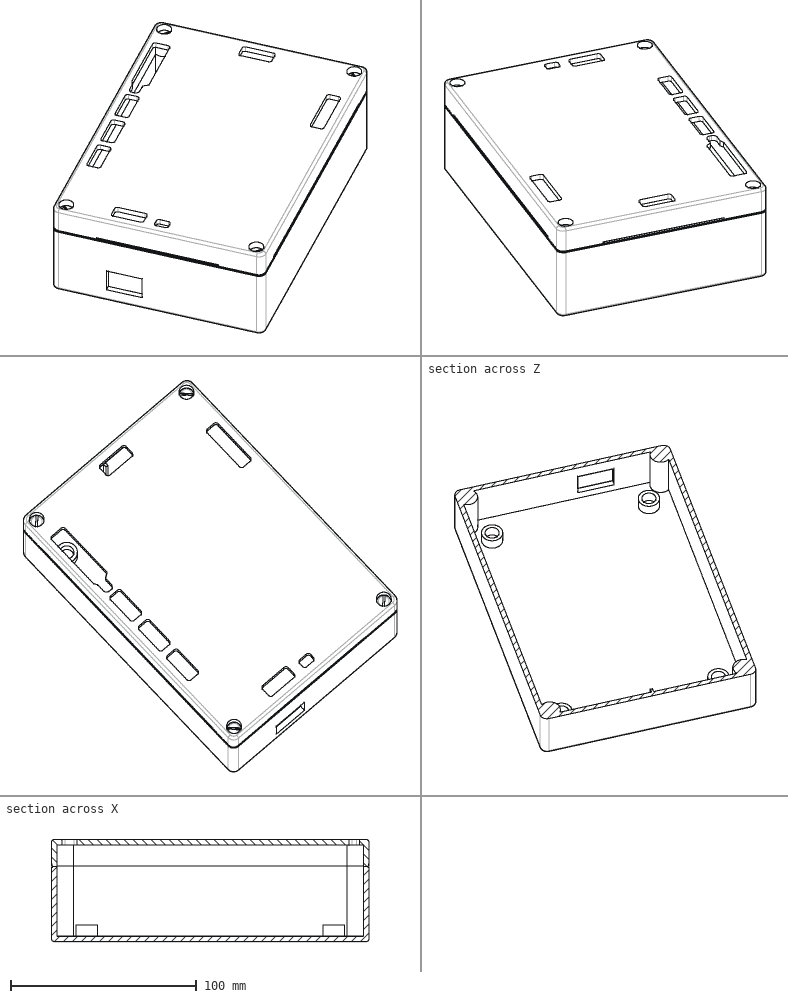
import cadquery as cq

LENGTH_X = 120.9
LENGTH_Y = 171.0
HEIGHT = 55.0
WALL = 3.0
CORNER_RADIUS = 4.0
EDGE_RADIUS = 1.5

JOINT_Z = 40.7
GROOVE_HEIGHT = 0.7
GROOVE_DEPTH = 0.5
NOTCH_DEPTH = 0.2
NOTCH_TOP_Z = 41.9
NOTCH_LENGTH_X = 69.7
NOTCH_LENGTH_Y = 138.1

SCREW_X = 54.2
SCREW_Y = 79.3
POST_DIAMETER = 11.5
RECESS_DIAMETER = 8.0
RECESS_DEPTH = 4.8
HEAD_DIAMETER = 7.9
HEAD_HEIGHT = 1.5
HEAD_EDGE_RADIUS = 1.0
DRIVE_SLOT_WIDTH = 1.0
DRIVE_SLOT_DEPTH = 1.0
CORNER_SLOT_ANGLE = 45.0

RIB_X = -2.4
RIB_WIDTH = 1.4
RIB_DEPTH = 2.0

STANDOFF_X = 44.0
STANDOFF_Y = 66.5
STANDOFF_DIAMETER = 11.5
STANDOFF_HOLE_DIAMETER = 7.5
STANDOFF_HEIGHT = 6.0

PORT_X = -19.0
PORT_Z = 14.0
PORT_WIDTH = 20.3
PORT_HEIGHT = 13.0

WINDOW_WIDTH = 7.9
WINDOW_LENGTH = 18.8
FRONT_WINDOW_LENGTH = 18.5
LONG_WINDOW_LENGTH = 29.0
SMALL_WINDOW_DEPTH = 5.5
WINDOW_RADIUS = 1.5
SIDE_WINDOW_X = -51.3
WINDOWS = [
    (SIDE_WINDOW_X, 11.0, WINDOW_WIDTH, WINDOW_LENGTH),
    (SIDE_WINDOW_X, -12.0, WINDOW_WIDTH, WINDOW_LENGTH),
    (SIDE_WINDOW_X, -34.7, WINDOW_WIDTH, WINDOW_LENGTH),
    (0.0, 75.7, WINDOW_LENGTH, WINDOW_WIDTH),
    (-19.3, -76.2, FRONT_WINDOW_LENGTH, WINDOW_WIDTH),
    (0.0, -77.5, WINDOW_WIDTH, SMALL_WINDOW_DEPTH),
    (51.0, 41.7, WINDOW_WIDTH, LONG_WINDOW_LENGTH),
]

SLOT_LEFT = -55.9
SLOT_RIGHT = -46.2
SLOT_TOP = 66.8
SLOT_SHOULDER_Y = 31.8
NECK_TOP = 29.7
NECK_LEFT = -54.7
NECK_RIGHT = -49.0
NECK_BOTTOM = 22.9
NECK_RADIUS = 2.2

SCREW_POINTS = [(sx * SCREW_X, sy * SCREW_Y) for sx in (-1, 1) for sy in (-1, 1)]
STANDOFF_POINTS = [(sx * STANDOFF_X, sy * STANDOFF_Y) for sx in (-1, 1) for sy in (-1, 1)]


def rounded_block(inset, z_bottom, z_top):
    """Enclosure outline moved inward by inset, between two heights."""
    block = (
        cq.Workplane("XY", origin=(0, 0, z_bottom))
        .rect(LENGTH_X - 2 * inset, LENGTH_Y - 2 * inset)
        .extrude(z_top - z_bottom)
    )
    radius = CORNER_RADIUS - inset
    return block.edges("|Z").fillet(radius)


def cylinders(points, diameter, z_bottom, z_top):
    """Upright cylinders of one diameter at all the points, between two heights."""
    return (
        cq.Workplane("XY", origin=(0, 0, z_bottom))
        .pushPoints(points)
        .circle(diameter / 2)
        .extrude(z_top - z_bottom)
    )


def make_base():
    """Lower shell with the posts, the standoffs and the front port."""
    base = rounded_block(0, 0, JOINT_Z).faces("<Z").edges().fillet(EDGE_RADIUS)
    base = base.cut(rounded_block(WALL, WALL, JOINT_Z))

    base = base.union(cylinders(SCREW_POINTS, POST_DIAMETER, WALL, JOINT_Z))
    standoff_top = WALL + STANDOFF_HEIGHT
    base = base.union(cylinders(STANDOFF_POINTS, STANDOFF_DIAMETER, WALL, standoff_top))
    base = base.cut(cylinders(STANDOFF_POINTS, STANDOFF_HOLE_DIAMETER, WALL, standoff_top))

    rib = cq.Workplane("XY").box(RIB_WIDTH, RIB_DEPTH, JOINT_Z - WALL)
    rib_y = LENGTH_Y / 2 - WALL - RIB_DEPTH / 2
    base = base.union(rib.translate((RIB_X, rib_y, (WALL + JOINT_Z) / 2)))

    groove_bottom = JOINT_Z - GROOVE_HEIGHT
    groove = rounded_block(0, groove_bottom, JOINT_Z)
    groove = groove.cut(rounded_block(GROOVE_DEPTH, groove_bottom, JOINT_Z))
    base = base.cut(groove)

    port = cq.Workplane("XY").box(PORT_WIDTH, 2 * WALL, PORT_HEIGHT)
    return base.cut(port.translate((PORT_X, -LENGTH_Y / 2, PORT_Z)))


def necked_slot():
    """Cutter for the long slot that narrows to a neck at its -Y end."""
    return (
        cq.Workplane("XY", origin=(0, 0, HEIGHT - WALL))
        .moveTo(SLOT_LEFT, SLOT_TOP)
        .lineTo(SLOT_RIGHT, SLOT_TOP)
        .lineTo(SLOT_RIGHT, SLOT_SHOULDER_Y)
        .lineTo(NECK_RIGHT, NECK_TOP)
        .lineTo(NECK_RIGHT, NECK_BOTTOM)
        .lineTo(NECK_LEFT, NECK_BOTTOM)
        .lineTo(NECK_LEFT, NECK_TOP)
        .lineTo(SLOT_LEFT, SLOT_SHOULDER_Y)
        .close()
        .extrude(WALL)
        .edges("|Z and >Y")
        .fillet(WINDOW_RADIUS)
        .edges("|Z and <Y")
        .fillet(NECK_RADIUS)
    )


def screw_head(slot_angle):
    """Round-edged screw head with a drive slot turned to the given angle."""
    head = cq.Workplane("XY").circle(HEAD_DIAMETER / 2).extrude(HEAD_HEIGHT)
    head = head.faces(">Z").edges().fillet(HEAD_EDGE_RADIUS)
    slot = cq.Workplane("XY").box(HEAD_DIAMETER, DRIVE_SLOT_WIDTH, 2 * DRIVE_SLOT_DEPTH)
    slot = slot.rotate((0, 0, 0), (0, 0, 1), slot_angle)
    return head.cut(slot.translate((0, 0, HEAD_HEIGHT)))


def make_lid():
    """Upper shell with the windows, the necked slot and the screw recesses."""
    lid = rounded_block(0, JOINT_Z, HEIGHT).faces(">Z").edges().fillet(EDGE_RADIUS)
    lid = lid.cut(rounded_block(WALL, JOINT_Z, HEIGHT - WALL))

    lid = lid.union(cylinders(SCREW_POINTS, POST_DIAMETER, JOINT_Z, HEIGHT - WALL))
    recess_floor = HEIGHT - RECESS_DEPTH
    lid = lid.cut(cylinders(SCREW_POINTS, RECESS_DIAMETER, recess_floor, HEIGHT))
    for x, y in SCREW_POINTS:
        slot_angle = CORNER_SLOT_ANGLE if x * y < 0 else -CORNER_SLOT_ANGLE
        lid = lid.union(screw_head(slot_angle).translate((x, y, recess_floor)))

    for x, y, size_x, size_y in WINDOWS:
        window = cq.Workplane("XY").box(size_x, size_y, 2 * WALL).edges("|Z").fillet(WINDOW_RADIUS)
        lid = lid.cut(window.translate((x, y, HEIGHT)))
    lid = lid.cut(necked_slot())

    notch_height = NOTCH_TOP_Z - JOINT_Z
    notch_z = JOINT_Z + notch_height / 2
    for side in (-1, 1):
        across_x = cq.Workplane("XY").box(NOTCH_LENGTH_X, 2 * NOTCH_DEPTH, notch_height)
        lid = lid.cut(across_x.translate((0, side * LENGTH_Y / 2, notch_z)))
        across_y = cq.Workplane("XY").box(2 * NOTCH_DEPTH, NOTCH_LENGTH_Y, notch_height)
        lid = lid.cut(across_y.translate((side * LENGTH_X / 2, 0, notch_z)))
    return lid


base = make_base()
lid = make_lid()

result = cq.Compound.makeCompound([base.val(), lid.val()])